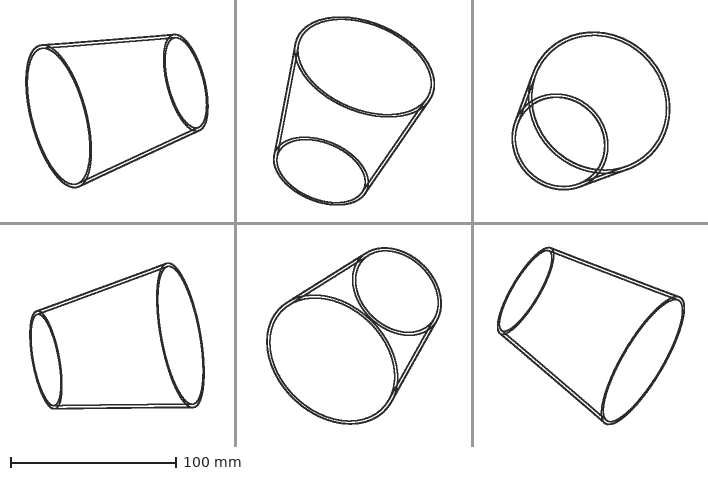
import cadquery as cq

wide_diameter = 88.9
narrow_diameter = 60.3
length = 86.0
wall = 2.05

wide_radius = wide_diameter / 2
narrow_radius = narrow_diameter / 2
wide_end_y = -length / 2
narrow_end_y = length / 2


def wall_section():
    """Half section of the conical wall in the XY plane."""
    return (
        cq.Workplane("XY")
        .moveTo(wide_radius - wall, wide_end_y)
        .lineTo(wide_radius, wide_end_y)
        .lineTo(narrow_radius, narrow_end_y)
        .lineTo(narrow_radius - wall, narrow_end_y)
        .close()
    )


result = wall_section().revolve(360, (0, 0, 0), (0, 1, 0))